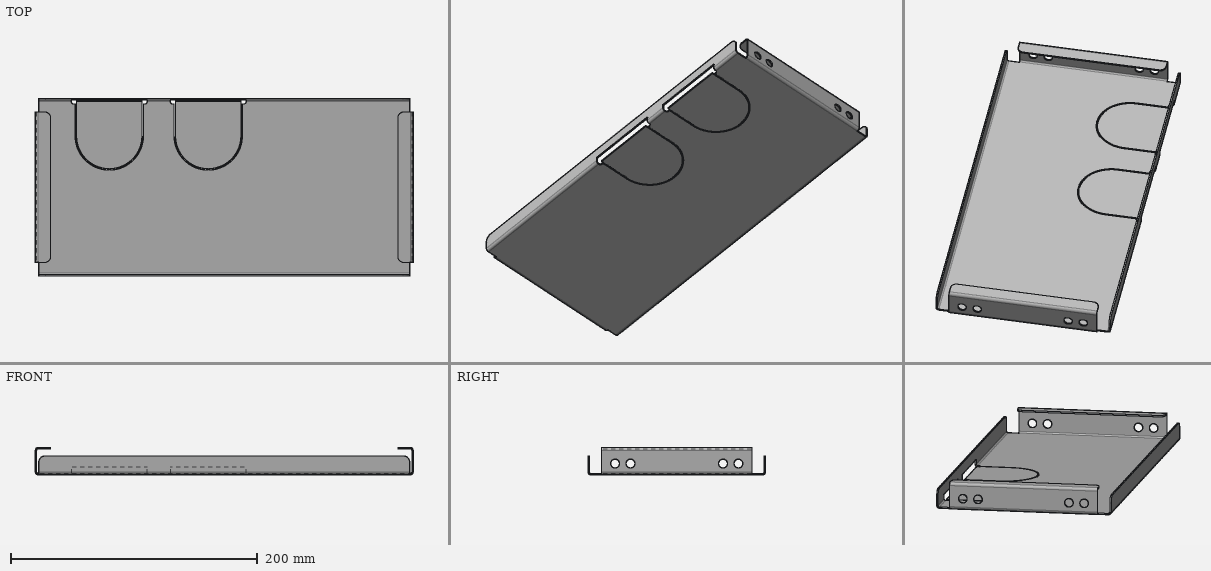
import cadquery as cq

thickness = 1.2
inner_bend_radius = 1.2
outer_bend_radius = inner_bend_radius + thickness

overall_length = 306.4
overall_width = 144.0
overall_height = 22.2
long_flange_length = 301.0
long_flange_height = 15.5
end_flange_length = 122.0
lip_width = 12.5
lip_corner_radius = 5.0
long_flange_corner_radius = 5.5

hole_diameter = 7.0
hole_height = 9.2
hole_offsets = (-50.0, -37.5, 37.5, 50.0)

tongue_centers_x = (-93.2, -13.0)
slot_radius = 27.1
slot_width = 0.9
tongue_arc_center_y = 41.5
tongue_end_y = 69.8
joint_width = 1.0

window_side_margin = 3.6
window_front_y = 67.5
window_height = 6.2
window_corner_radius = 2.0


def box(x_range, y_range, z_range):
    """Axis-aligned box spanning the three given ranges."""
    size = [high - low for low, high in (x_range, y_range, z_range)]
    corner = (x_range[0], y_range[0], z_range[0])
    return cq.Workplane("XY").box(*size, centered=False).translate(corner)


def make_long_channel():
    """Floor with its front and rear flanges, bent up as one channel."""
    half = long_flange_length / 2
    outer = box((-half, half), (-overall_width / 2, overall_width / 2), (0, long_flange_height))
    outer = outer.edges("|X and <Z").fillet(outer_bend_radius)
    inner_y = overall_width / 2 - thickness
    inner = box((-half, half), (-inner_y, inner_y), (thickness, long_flange_height + thickness))
    inner = inner.edges("|X and <Z").fillet(inner_bend_radius)
    return outer.cut(inner).edges("|Y and >Z").edges("<X or >X").fillet(long_flange_corner_radius)


def make_end_channel():
    """Floor strip with both end flanges and their inward lips."""
    half_x = overall_length / 2
    half_y = end_flange_length / 2
    outer = box((-half_x, half_x), (-half_y, half_y), (0, overall_height))
    outer = outer.edges("|Y").fillet(outer_bend_radius)
    inner_x = half_x - thickness
    inner = box((-inner_x, inner_x), (-half_y, half_y), (thickness, overall_height - thickness))
    inner = inner.edges("|Y").fillet(inner_bend_radius)
    lip_edge_x = half_x - lip_width
    lip_underside = overall_height - thickness
    opening = box((-lip_edge_x, lip_edge_x), (-half_y, half_y), (lip_underside, overall_height))
    lip_edges = cq.selectors.BoxSelector(
        (-lip_edge_x - thickness, -overall_width, lip_underside),
        (lip_edge_x + thickness, overall_width, overall_height),
    )
    channel = outer.cut(inner).cut(opening)
    return channel.edges("|Z").edges(lip_edges).fillet(lip_corner_radius)


def make_end_holes():
    """Hole cutters running through both end flanges."""
    return (
        cq.Workplane("YZ", origin=(-overall_length / 2, 0, 0))
        .pushPoints([(y, hole_height) for y in hole_offsets])
        .circle(hole_diameter / 2)
        .extrude(overall_length)
    )


def make_tongue_blank(center_x, radius):
    """U-shaped plate through the floor, round at the front."""
    return (
        cq.Workplane("XY")
        .moveTo(center_x - radius, tongue_end_y)
        .lineTo(center_x - radius, tongue_arc_center_y)
        .threePointArc(
            (center_x, tongue_arc_center_y - radius),
            (center_x + radius, tongue_arc_center_y),
        )
        .lineTo(center_x + radius, tongue_end_y)
        .close()
        .extrude(thickness)
    )


def make_tongue_cut(center_x):
    """Slot around a tongue plus the window behind it, less the joint holding the tongue."""
    tongue = make_tongue_blank(center_x, slot_radius - slot_width / 2)
    slot = make_tongue_blank(center_x, slot_radius + slot_width / 2)
    half_window = slot_radius + window_side_margin
    window = box(
        (center_x - half_window, center_x + half_window),
        (window_front_y, overall_width / 2),
        (0, window_height),
    ).edges("|Z and <Y").fillet(window_corner_radius)
    joint = box(
        (center_x - joint_width / 2, center_x + joint_width / 2),
        (tongue_arc_center_y - slot_radius - 2 * slot_width, tongue_arc_center_y),
        (0, thickness),
    )
    return slot.union(window).cut(tongue).cut(joint)


result = make_long_channel().union(make_end_channel()).cut(make_end_holes())
for tongue_x in tongue_centers_x:
    result = result.cut(make_tongue_cut(tongue_x))